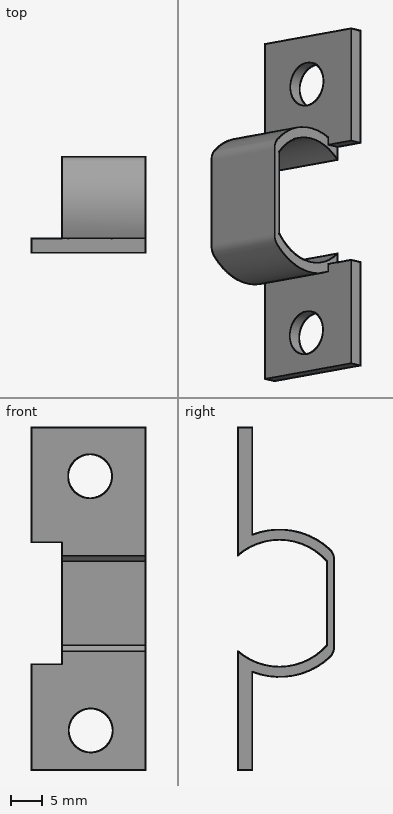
import cadquery as cq
import math

plate_width = 18.0
overall_depth = 15.21
overall_height = 54.08

bore_radius = 10.0
band_outer_radius = 11.65
strap_width = 13.2
axis_to_front = 6.57
back_wall = 1.15
back_edge_radius = 2.2

plate_thickness = 2.3
axis_above_bottom = 26.33

hole_diameter = 6.9
upper_hole_from_left = 9.25
lower_hole_from_left = 9.35
upper_hole_from_top = 7.7
lower_hole_from_bottom = 6.25

front_y = -axis_to_front
back_y = front_y + overall_depth
inner_back_y = back_y - back_wall
strap_left = plate_width - strap_width
bottom_z = -axis_above_bottom
top_z = bottom_z + overall_height
plate_inner_z = math.sqrt(band_outer_radius**2 - front_y**2)


def flattened_disc(radius, flat_y):
    """Disc along X, cut flat at the front face and at flat_y behind the axis."""
    front_z = math.sqrt(radius**2 - front_y**2)
    flat_z = math.sqrt(radius**2 - flat_y**2)
    return (
        cq.Workplane("YZ", origin=(strap_left, 0, 0))
        .moveTo(front_y, front_z)
        .threePointArc((0, radius), (flat_y, flat_z))
        .lineTo(flat_y, -flat_z)
        .threePointArc((0, -radius), (front_y, -front_z))
        .close()
        .extrude(strap_width)
    )


def mounting_plate(start_z, end_z):
    """Flat plate from start_z to end_z, flush with the front of the strap."""
    return (
        cq.Workplane("XY", origin=(0, front_y, start_z))
        .rect(plate_width, plate_thickness, centered=False)
        .extrude(end_z - start_z)
    )


def screw_hole(center_x, center_z):
    """Cylinder through a plate along Y."""
    return (
        cq.Workplane("XZ", origin=(center_x, front_y, center_z))
        .circle(hole_diameter / 2)
        .extrude(-plate_thickness)
    )


bore = flattened_disc(bore_radius, inner_back_y)
band = flattened_disc(band_outer_radius, back_y)
band = band.faces(">Y").edges("|X").fillet(back_edge_radius)

lower_plate = mounting_plate(bottom_z, -plate_inner_z)
upper_plate = mounting_plate(plate_inner_z, top_z)

result = band.union(lower_plate).union(upper_plate).cut(bore)
result = result.cut(screw_hole(upper_hole_from_left, top_z - upper_hole_from_top))
result = result.cut(screw_hole(lower_hole_from_left, bottom_z + lower_hole_from_bottom))